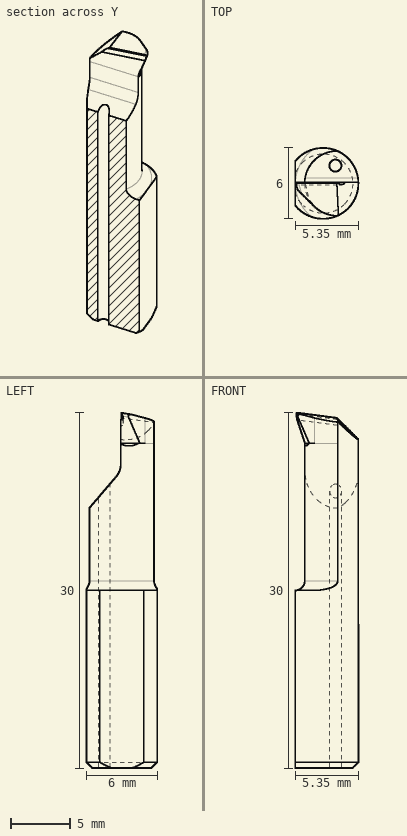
import math

import cadquery as cq

total_length = 30.0
shank_radius = 3.0
shank_length = 15.0
flat_x = -2.35
base_chamfer = 0.5

neck_offset = 1.18
neck_radius = 2.73
neck_fillet = neck_offset - neck_radius - flat_x
head_base_z = 27.4

rake_y = 0.1
gullet_top_z = 25.05
gullet_angle = 40.5
gullet_fillet = 1.6

coolant_diameter = 1.0
coolant_x = 1.05
coolant_y = 1.5

nose_radius = 0.2
nose_x = -2.3
top_slope = math.tan(math.radians(7.5))
top_relief = math.tan(math.radians(7.5))
side_slope = math.tan(math.radians(18.5))
side_relief = math.tan(math.radians(13))
back_sum = 30.74
back_relief = math.tan(math.radians(5))
ledge_slope = math.tan(math.radians(60))

groove_width = 0.6
land_width = 0.12
land_y = 0.03
groove_floor_y = -0.1

margin = 1.0


def make_shank():
    shank = cq.Workplane("XY").circle(shank_radius).extrude(shank_length)
    shank = shank.faces("<Z").chamfer(base_chamfer)
    beyond_flat = (
        cq.Workplane("XY", origin=(flat_x, 0, 0))
        .rect(2 * margin, 2 * shank_radius)
        .extrude(shank_length)
        .translate((-margin, 0, 0))
    )
    return shank.cut(beyond_flat)


def make_neck():
    """Neck with its concave root fillet, kept inside the shank diameter."""
    root_radius = neck_radius + neck_fillet
    fillet_top = shank_length + neck_fillet
    bend = neck_fillet * math.sqrt(0.5)
    neck = (
        cq.Workplane("XZ")
        .moveTo(0, shank_length)
        .lineTo(root_radius, shank_length)
        .threePointArc((root_radius - bend, fillet_top - bend), (neck_radius, fillet_top))
        .lineTo(neck_radius, head_base_z)
        .lineTo(0, head_base_z)
        .close()
        .revolve(360, (0, 0, 0), (0, 1, 0))
        .translate((neck_offset, 0, 0))
    )
    envelope = cq.Workplane("XY").circle(shank_radius).extrude(total_length)
    return neck.intersect(envelope)


def nose_center():
    """Center of the nose arc at the cutting edge, in X and Z."""
    return nose_x + nose_radius, total_length - nose_radius


def top_edge_height():
    """Height of the top cutting edge, extended, at X = 0."""
    center_x, center_z = nose_center()
    return center_z + center_x * top_slope + nose_radius * math.hypot(1, top_slope)


def relief_outline(y):
    """Corners, in X and Z, of the head faces and neck bevel in the section at the given Y.

    The first corner is the sharp tip.
    """
    center_x, center_z = nose_center()
    setback = land_y - y
    top_z = top_edge_height() - setback * top_relief
    side_x = center_x - nose_radius * math.hypot(1, side_slope) + center_z * side_slope
    side_x += setback * side_relief
    back_z = back_sum - setback * back_relief
    tip_x = (side_x - side_slope * top_z) / (1 - side_slope * top_slope)
    ridge_x = (back_z - top_z) / (1 - top_slope)
    right_x = shank_radius + margin
    base_x = side_x - side_slope * head_base_z
    ledge_x = base_x - neck_radius / 2
    ledge_z = head_base_z - ledge_slope * neck_radius / 2
    return [
        (tip_x, top_z - top_slope * tip_x),
        (ridge_x, top_z - top_slope * ridge_x),
        (right_x, back_z - right_x),
        (right_x, 0),
        (ledge_x, 0),
        (ledge_x, ledge_z),
        (base_x, head_base_z),
    ]


def make_relief_envelope():
    """Block bounded by the relieved head faces, with the tip rounded to the nose radius."""
    envelope = (
        cq.Workplane("XZ", origin=(0, shank_radius, 0))
        .polyline(relief_outline(shank_radius))
        .close()
        .workplane(offset=2 * shank_radius)
        .polyline(relief_outline(-shank_radius))
        .close()
        .loft(ruled=True)
    )
    tip_x, tip_z = relief_outline(land_y)[0]
    tip_edge = cq.selectors.NearestToPointSelector((tip_x, land_y, tip_z))
    return envelope.edges(tip_edge).fillet(nose_radius)


def make_head_blank():
    """Head before relief: the neck circle drawn out along its 45 degree tangent to the tip."""
    head_height = total_length + margin - head_base_z
    reach = neck_radius * math.sqrt(0.5)
    tangent_x = neck_offset - reach
    left_x = flat_x
    neck_right = neck_offset + neck_radius
    blank = (
        cq.Workplane("XY")
        .moveTo(left_x, rake_y)
        .lineTo(left_x, tangent_x - reach - left_x)
        .lineTo(tangent_x, -reach)
        .threePointArc((neck_offset, -neck_radius), (neck_right, 0))
        .lineTo(neck_right, rake_y)
        .close()
        .extrude(head_height)
    )
    shank_prism = cq.Workplane("XY").circle(shank_radius).extrude(head_height)
    return blank.intersect(shank_prism).translate((0, 0, head_base_z))


def make_gullet():
    """Space above the rake face and its sloping run-out."""
    outer_y = shank_radius + margin
    run_out = (outer_y - rake_y) / math.tan(math.radians(gullet_angle))
    top_z = total_length + margin
    gullet = (
        cq.Workplane("YZ")
        .moveTo(rake_y, top_z)
        .lineTo(rake_y, gullet_top_z)
        .lineTo(outer_y, gullet_top_z - run_out)
        .lineTo(outer_y, top_z)
        .close()
        .extrude(shank_radius + margin, both=True)
    )
    bend = cq.selectors.NearestToPointSelector((0, rake_y, gullet_top_z))
    return gullet.edges(bend).fillet(gullet_fillet)


def make_chip_groove():
    """Shallow groove along the top cutting edge, leaving a narrow land beside the edge."""
    edge_plane = cq.Plane(
        origin=(0, 0, top_edge_height()), xDir=(0, 1, 0), normal=(1, 0, -top_slope)
    )
    return (
        cq.Workplane(edge_plane)
        .moveTo(land_y, margin)
        .lineTo(land_y, -land_width)
        .threePointArc((groove_floor_y, -(land_width + groove_width) / 2), (rake_y, -groove_width))
        .lineTo(margin, -groove_width)
        .lineTo(margin, margin)
        .close()
        .extrude(shank_radius + margin, both=True)
    )


def make_coolant_hole():
    center = cq.Workplane("XY").center(coolant_x, coolant_y)
    return center.circle(coolant_diameter / 2).extrude(total_length)


upper_body = make_neck().union(make_head_blank()).intersect(make_relief_envelope())
body = make_shank().union(upper_body)
result = body.cut(make_gullet()).cut(make_chip_groove()).cut(make_coolant_hole())